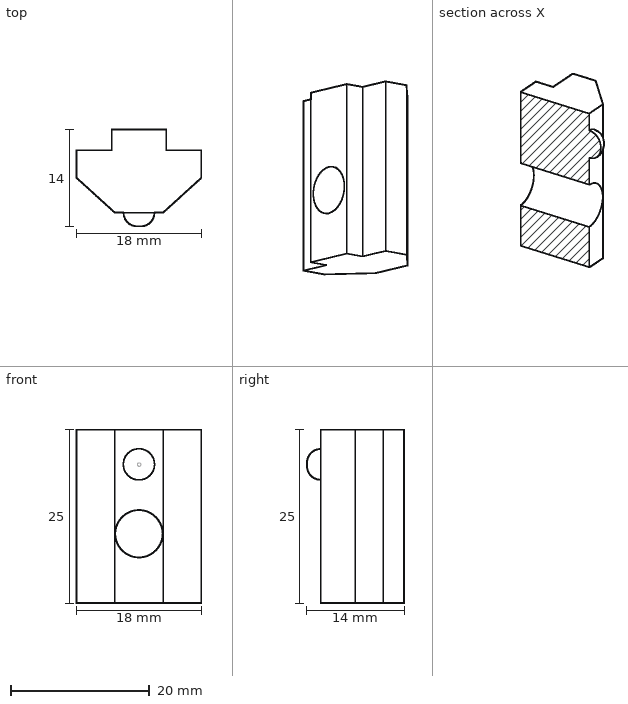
import cadquery as cq

width = 18.0
length = 25.0
base_depth = 9.0
side_depth = 4.0
front_width = 7.0

rib_width = 7.9
rib_depth = 3.0

hole_diameter = 6.8
hole_height = 10.0

detent_diameter = 4.5
detent_protrusion = 2.0
detent_height = 20.0
detent_root = 0.5

front_y = 0.0
shoulder_y = front_y + base_depth
chamfer_end_y = shoulder_y - side_depth
back_y = shoulder_y + rib_depth


def make_body():
    """Extrude the T-slot profile, symmetric about X = 0, along Z."""
    half_outline = [
        (0, front_y),
        (front_width / 2, front_y),
        (width / 2, chamfer_end_y),
        (width / 2, shoulder_y),
        (rib_width / 2, shoulder_y),
        (rib_width / 2, back_y),
        (0, back_y),
    ]
    return cq.Workplane("XY").polyline(half_outline).mirrorY().extrude(length)


def make_hole():
    """Cylinder passing through the body along Y."""
    return (
        cq.Workplane("XZ", origin=(0, back_y, hole_height))
        .circle(hole_diameter / 2)
        .extrude(back_y - front_y)
    )


def make_detent():
    """Round stud on the front face, its rim rounded over the full height to leave a small flat tip."""
    return (
        cq.Workplane("XZ", origin=(0, front_y, detent_height))
        .circle(detent_diameter / 2)
        .extrude(detent_protrusion + detent_root)
        .translate((0, detent_root, 0))
        .faces("<Y")
        .edges()
        .fillet(detent_protrusion)
    )


result = make_body().cut(make_hole()).union(make_detent())